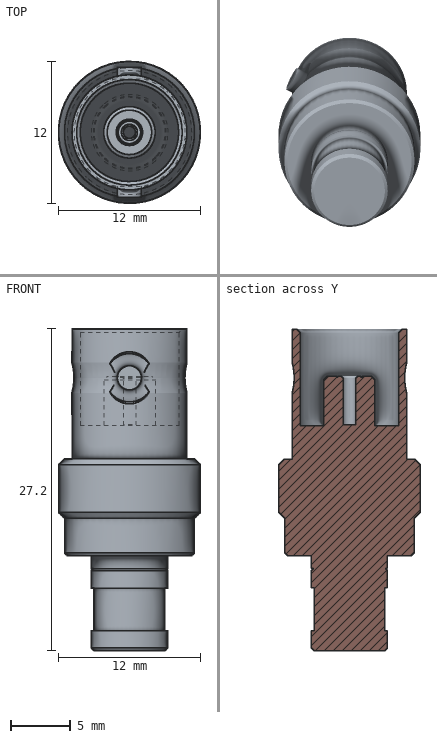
import cadquery as cq

height = 27.2
foot_top = 1.7
stem_top = 5.3
ring_top = 6.94
body_base = 8.02
collar_base = 11.2
collar_top = 16.2
groove_bottom = 21.8
groove_top = 24.35
groove_middle = (groove_bottom + groove_top) / 2

stem_radius = 6.0 / 2
ring_radius = 3.25
body_radius = 5.5
collar_radius = 12.0 / 2
barrel_radius = 9.7 / 2
groove_depth = 0.15

foot_bevel = 0.25
ring_bevel = 0.15
body_bevel = 0.25
collar_bevel = collar_radius - body_radius

cavity_radius = 4.15
cavity_depth = 8.15
mouth_bevel = 0.3
insulator_radius = 2.18
insulator_bevel = 0.3
insulator_recess = 4.0
insulator_top = height - insulator_recess

contact_radius = 0.95
contact_ring_width = 0.15
contact_bore_radius = 0.52
contact_bore_depth = 4.08
contact_bore_bevel = 0.15

pin_radius = 2.05 / 2
pin_reach = body_radius
seat_radius = 2.05
seat_offset = 4.55
seat_slope_width = 0.15
cutter_overshoot = 0.27


def turned(profile):
    """Revolve a closed (radius, height) profile about the Z axis."""
    return profile.close().revolve(360, (0, 0, 0), (0, 1, 0))


def outer_body():
    """Stem, ring, stepped body, collar and waisted barrel as one turned solid."""
    waist_radius = barrel_radius - groove_depth
    quarter_radius = barrel_radius - groove_depth * 3 / 4
    profile = (
        cq.Workplane("XZ")
        .lineTo(ring_radius - foot_bevel, 0)
        .lineTo(ring_radius, foot_bevel)
        .lineTo(ring_radius, foot_top)
        .lineTo(stem_radius, foot_top)
        .lineTo(stem_radius, stem_top)
        .lineTo(ring_radius, stem_top)
        .lineTo(ring_radius, ring_top - ring_bevel)
        .lineTo(ring_radius - ring_bevel, ring_top)
        .lineTo(ring_radius, ring_top)
        .lineTo(ring_radius, body_base)
        .lineTo(body_radius - body_bevel, body_base)
        .lineTo(body_radius, body_base + body_bevel)
        .lineTo(body_radius, collar_base)
        .lineTo(collar_radius, collar_base + collar_bevel)
        .lineTo(collar_radius, collar_top - collar_bevel)
        .lineTo(collar_radius - collar_bevel, collar_top)
        .lineTo(barrel_radius, collar_top)
        .lineTo(barrel_radius, groove_bottom)
        .threePointArc((quarter_radius, (groove_bottom + groove_middle) / 2), (waist_radius, groove_middle))
        .threePointArc((quarter_radius, (groove_middle + groove_top) / 2), (barrel_radius, groove_top))
        .lineTo(barrel_radius, height)
        .lineTo(0, height)
    )
    return turned(profile)


def socket_cavity():
    """Bevelled socket cavity that leaves the insulator standing."""
    floor = height - cavity_depth
    profile = (
        cq.Workplane("XZ")
        .moveTo(0, height)
        .lineTo(cavity_radius + mouth_bevel, height)
        .lineTo(cavity_radius, height - mouth_bevel)
        .lineTo(cavity_radius, floor)
        .lineTo(insulator_radius, floor)
        .lineTo(insulator_radius, insulator_top - insulator_bevel)
        .lineTo(insulator_radius - insulator_bevel, insulator_top)
        .lineTo(0, insulator_top)
    )
    return turned(profile)


def contact_ring():
    """V-shaped ring groove between the contact and the insulator."""
    half_width = contact_ring_width / 2
    profile = (
        cq.Workplane("XZ")
        .moveTo(contact_radius, insulator_top)
        .lineTo(contact_radius + half_width, insulator_top - half_width)
        .lineTo(contact_radius + contact_ring_width, insulator_top)
    )
    return turned(profile)


def contact_bore():
    """Blind bore in the contact with a bevelled mouth."""
    profile = (
        cq.Workplane("XZ")
        .moveTo(0, insulator_top)
        .lineTo(contact_bore_radius + contact_bore_bevel, insulator_top)
        .lineTo(contact_bore_radius, insulator_top - contact_bore_bevel)
        .lineTo(contact_bore_radius, insulator_top - contact_bore_depth)
        .lineTo(0, insulator_top - contact_bore_depth)
    )
    return turned(profile)


def along_y(side, start, length, start_radius, end_radius):
    """Cone or cylinder at pin height, pointing outward along Y on the given side."""
    base = cq.Vector(0, side * start, groove_middle)
    direction = cq.Vector(0, side, 0)
    if start_radius == end_radius:
        return cq.Workplane(cq.Solid.makeCylinder(start_radius, length, base, direction))
    return cq.Workplane(cq.Solid.makeCone(start_radius, end_radius, length, base, direction))


result = outer_body().cut(socket_cavity()).cut(contact_ring()).cut(contact_bore())

seat_flare = seat_slope_width / (barrel_radius - seat_offset)
seat_length = barrel_radius - seat_offset + cutter_overshoot
seat_outer_radius = seat_radius + seat_flare * seat_length
pin_root = (cavity_radius + seat_offset) / 2

for side in (-1, 1):
    result = result.cut(along_y(side, seat_offset, seat_length, seat_radius, seat_outer_radius))
    result = result.union(along_y(side, pin_root, pin_reach - pin_root, pin_radius, pin_radius))